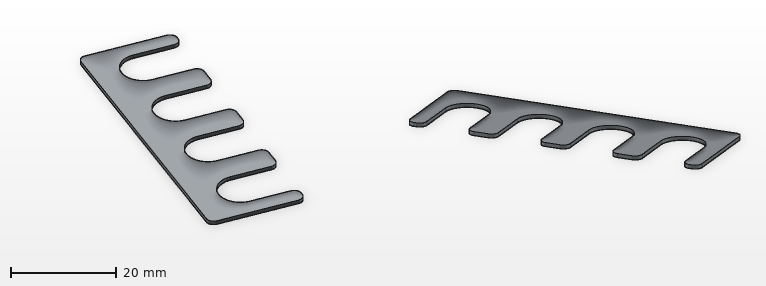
import cadquery as cq

plate_length = 61.0
plate_width = 20.0
plate_thickness = 0.81
corner_radius = 1.5

slot_count = 4
slot_pitch = 15.0
slot_width = 9.0
web_width = 5.5

slot_radius = slot_width / 2
slot_arc_center_y = -plate_width / 2 + web_width + slot_radius
slot_straight_length = plate_width / 2 - slot_arc_center_y


def make_plate():
    """Plain rectangular plate, centred in X and Y, resting on Z = 0."""
    return cq.Workplane("XY").box(
        plate_length, plate_width, plate_thickness, centered=(True, True, False)
    )


def make_slot(center_x):
    """Solid of one slot: straight sides up to the +Y edge and a semicircular bottom."""
    return (
        cq.Workplane("XY")
        .moveTo(center_x - slot_radius, slot_arc_center_y)
        .threePointArc(
            (center_x, slot_arc_center_y - slot_radius),
            (center_x + slot_radius, slot_arc_center_y),
        )
        .line(0, slot_straight_length)
        .line(-slot_width, 0)
        .close()
        .extrude(plate_thickness)
    )


def round_corners(plate):
    """Round the tine tips and the two outer corners on the -Y edge."""
    tip_corners = plate.faces(">Y").edges("|Z")
    base_corners = plate.faces("<Y").edges("|Z")
    return plate.newObject(tip_corners.vals() + base_corners.vals()).fillet(corner_radius)


comb = make_plate()
for index in range(slot_count):
    slot_center_x = (index - (slot_count - 1) / 2) * slot_pitch
    comb = comb.cut(make_slot(slot_center_x))

result = round_corners(comb)